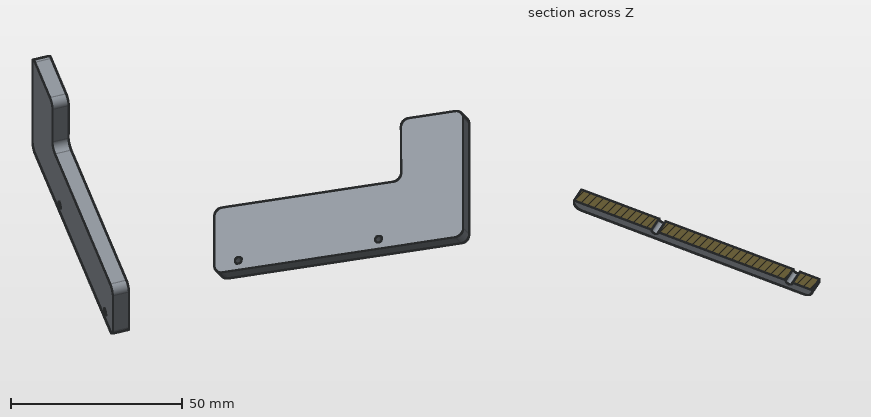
import cadquery as cq

length = 78.0
thickness = 5.0
height = 40.0

arm_top_width = 19.6
arm_root_width = 19.4
base_height = 20.6
corner_radius = 2.5

hole_diameter = 2.1
hole_height = 3.05
hole_positions = (26.5, 70.4)


def make_plate():
    """L-shaped plate standing in the XZ plane, with every corner rounded."""
    outline = [
        (0, 0),
        (length, 0),
        (length, base_height),
        (arm_root_width, base_height),
        (arm_top_width, height),
        (0, height),
    ]
    plate = cq.Workplane("XZ").polyline(outline).close().extrude(-thickness)
    return plate.edges("|Y").fillet(corner_radius)


def make_holes():
    """Cylinders that pierce the full thickness of the plate."""
    centers = [(x, hole_height) for x in hole_positions]
    return cq.Workplane("XZ").pushPoints(centers).circle(hole_diameter / 2).extrude(-thickness)


result = make_plate().cut(make_holes())